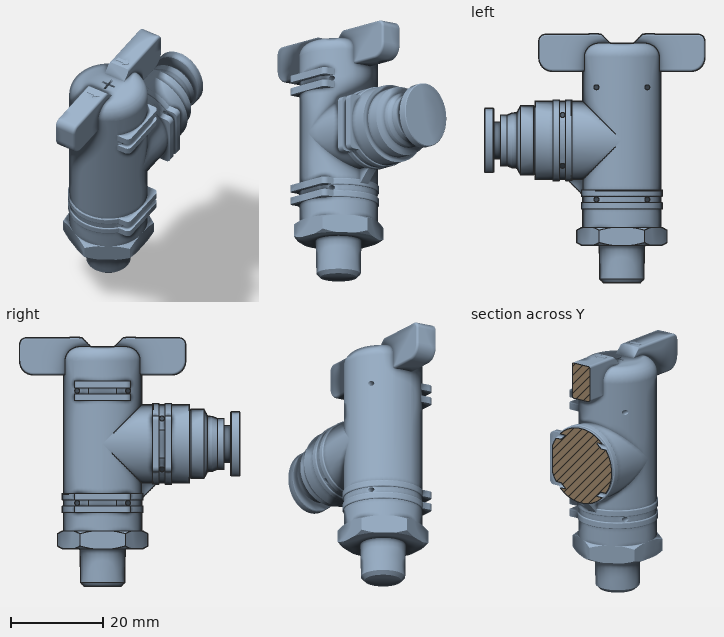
import cadquery as cq
import math


body_diameter = 17.0
body_radius = body_diameter / 2
body_top = 51.85
dome_fillet = 3.0

hex_bottom = 8.1
hex_top = 12.0
hex_across_flats = body_diameter
hex_corner_radius = hex_across_flats / math.sqrt(3)
hex_face_radius = 8.75
hex_corner_drop = (hex_corner_radius - hex_face_radius) * math.tan(math.radians(30))
thread_top_radius = 4.95
thread_low_radius = 4.8
thread_chamfer = 0.8

arm_z = 30.8
arm_end = 18.8

collar_radius = 7.5
collar_chamfer = 0.3
collar_shoulder = 21.9
cone_base = 22.7
cone_base_radius = 6.05
cone_middle = 23.75
cone_middle_radius = 5.95
cone_tip = 24.8
cone_tip_radius = 5.5
sleeve_end = 26.3
neck_radius = 4.0
neck_end = 27.7
flange_end = 29.7
flange_half_x = 5.8
flange_half_z = 6.95
flange_chamfer = 0.15

ring_radius = 8.8
ring_width = 1.45
ring_pitch = 2.75
ring_edge_fillet = 0.2
lower_ring_z = 18.0
upper_lug_z = 42.3
arm_ring_y = 12.85
lug_half_span = 6.05
lug_reach = 9.0
lug_corner_fillet = 1.0
lug_slot_floor = 7.95
pin_hole_radius = 0.55
pin_hole_spacing = 11.0
pin_hole_depth = 1.1

gusset_thickness = 2.15
gusset_foot_z = 19.05

handle_length = 36.0
handle_width = 4.95
handle_bottom = 45.7
handle_top = 53.8
handle_low_fillet = 3.0
handle_top_fillet = 1.5
handle_edge_fillet = 0.5
notch_floor_half = 2.55
arrow_height = 0.15
arrow_y = 6.05
arrow_half_length = 1.5
arrow_head_start = 0.4
arrow_head_half_width = 1.0
arrow_shaft_half_width = 0.45

cross_length = 3.35
cross_width = 0.55
cross_depth = cross_length / 2


def revolve_z(profile):
    """Solid of revolution about Z from (radius, z) points."""
    return cq.Workplane("XZ").polyline(profile).close().revolve(360, (0, 0), (0, 1))


def onto_arm(shape):
    """Lay a shape built along +Z onto the arm, so that Z becomes Y and +X stays +X."""
    return shape.rotate((0, 0, 0), (1, 0, 0), -90).translate((0, 0, arm_z))


def make_body():
    body = cq.Workplane("XY").workplane(offset=hex_top).circle(body_radius).extrude(body_top - hex_top)
    return body.faces(">Z").edges().fillet(dome_fillet)


def make_hexagon():
    height = hex_top - hex_bottom
    prism = (
        cq.Workplane("XY")
        .workplane(offset=hex_bottom)
        .polygon(6, 2 * hex_corner_radius)
        .extrude(height)
        .rotate((0, 0, 0), (0, 0, 1), 90)
    )
    corner_cones = revolve_z([
        (0, hex_bottom),
        (hex_face_radius, hex_bottom),
        (hex_corner_radius, hex_bottom + hex_corner_drop),
        (hex_corner_radius, hex_top - hex_corner_drop),
        (hex_face_radius, hex_top),
        (0, hex_top),
    ])
    return prism.intersect(corner_cones)


def make_thread():
    return revolve_z([
        (0, 0),
        (thread_low_radius - thread_chamfer, 0),
        (thread_low_radius, thread_chamfer),
        (thread_top_radius, hex_bottom),
        (0, hex_bottom),
    ])


def make_arm():
    arm = cq.Workplane("XY").circle(body_radius).extrude(arm_end)
    collar = revolve_z([
        (0, arm_end),
        (collar_radius - collar_chamfer, arm_end),
        (collar_radius, arm_end + collar_chamfer),
        (collar_radius, collar_shoulder),
        (cone_base_radius, cone_base),
        (cone_middle_radius, cone_middle),
        (cone_tip_radius, cone_tip),
        (cone_tip_radius, sleeve_end),
        (neck_radius, sleeve_end),
        (neck_radius, neck_end),
        (0, neck_end),
    ])
    flange = (
        cq.Workplane("XY")
        .workplane(offset=neck_end)
        .ellipse(flange_half_x, flange_half_z)
        .extrude(flange_end - neck_end)
        .edges()
        .chamfer(flange_chamfer)
    )
    return onto_arm(arm.union(collar).union(flange))


def make_ring_pair():
    """Two clamp rings about Z, centred on z = 0."""
    ring = cq.Workplane("XY").circle(ring_radius).extrude(ring_width / 2, both=True)
    ring = ring.edges().fillet(ring_edge_fillet)
    return ring.translate((0, 0, ring_pitch / 2)).union(ring.translate((0, 0, -ring_pitch / 2)))


def make_lug_pair():
    """Two square lugs on the +X side, centred on z = 0."""
    lug = cq.Workplane("XY").box(lug_reach, 2 * lug_half_span, ring_width, centered=(False, True, True))
    lug = lug.edges("|Z and >X").fillet(lug_corner_fillet)
    return lug.translate((0, 0, ring_pitch / 2)).union(lug.translate((0, 0, -ring_pitch / 2)))


def make_clamp_cuts():
    """Flat between the lugs and four pin holes parallel to X, centred on z = 0."""
    gap = ring_pitch - ring_width
    slot = (
        cq.Workplane("XY")
        .box(lug_reach, 2 * lug_half_span, gap, centered=(False, True, True))
        .translate((lug_slot_floor, 0, 0))
    )
    holes = (
        cq.Workplane("YZ")
        .rarray(pin_hole_spacing, 0.55, 2, 1)
        .circle(pin_hole_radius)
        .extrude(body_radius, both=True)
    )
    hole_floor = (
        cq.Workplane("XY")
        .circle(body_radius - pin_hole_depth)
        .extrude(2 * pin_hole_radius, both=True)
    )
    return slot.union(holes.cut(hole_floor))


def make_gusset():
    drop = arm_z - gusset_foot_z
    return (
        cq.Workplane("YZ")
        .moveTo(0, arm_z)
        .lineTo(0, gusset_foot_z)
        .lineTo(body_radius, gusset_foot_z)
        .lineTo(body_radius + drop, arm_z)
        .close()
        .extrude(gusset_thickness / 2, both=True)
        .intersect(cq.Workplane("XY").box(2 * body_radius, 2 * arm_end, 2 * arm_z))
    )


def make_handle():
    height = handle_top - handle_bottom
    bar = cq.Workplane("XY").box(handle_width, handle_length, height, centered=(True, True, False))
    bar = bar.translate((0, 0, handle_bottom))
    bar = bar.edges("|X and <Z").fillet(handle_low_fillet)
    bar = bar.edges("|X and >Z").fillet(handle_top_fillet)
    bar = bar.faces("<X or >X").edges().fillet(handle_edge_fillet)

    notch_top_half = notch_floor_half + handle_top - body_top
    notch = (
        cq.Workplane("YZ")
        .moveTo(-notch_floor_half, body_top)
        .lineTo(notch_floor_half, body_top)
        .lineTo(notch_top_half, handle_top)
        .lineTo(-notch_top_half, handle_top)
        .close()
        .extrude(handle_width, both=True)
    )
    return bar.cut(notch)


def make_arrows():
    """Raised turning arrows pointing to +X on both handle wings."""
    head_line = [
        (arrow_head_start, arrow_shaft_half_width),
        (arrow_head_start, arrow_head_half_width),
        (arrow_half_length, 0),
        (arrow_head_start, -arrow_head_half_width),
        (arrow_head_start, -arrow_shaft_half_width),
    ]
    tail_line = [
        (-arrow_half_length, -arrow_shaft_half_width),
        (-arrow_half_length, arrow_shaft_half_width),
    ]
    arrow = (
        cq.Workplane("XY")
        .workplane(offset=handle_top)
        .polyline(head_line + tail_line)
        .close()
        .extrude(arrow_height)
    )
    return arrow.translate((0, arrow_y, 0)).union(arrow.translate((0, -arrow_y, 0)))


def make_cross():
    """Cross slot whose floor slopes at 45 degrees down to the axis."""
    arm_x = cq.Workplane("XY").box(cross_length, cross_width, 2 * cross_depth)
    arm_y = cq.Workplane("XY").box(cross_width, cross_length, 2 * cross_depth)
    floor_cone = revolve_z([(0, -cross_depth), (cross_length / 2, 0), (0, 0)])
    return arm_x.union(arm_y).intersect(floor_cone).translate((0, 0, body_top))


def add_lugs(solid, place):
    """Join a lug pair where place() puts it, then cut its slot and pin holes."""
    return solid.union(place(make_lug_pair())).cut(place(make_clamp_cuts()))


def at_lower_ring(shape):
    return shape.translate((0, 0, lower_ring_z))


def at_upper_lugs(shape):
    return shape.translate((0, 0, upper_lug_z))


def at_arm_ring(shape):
    return onto_arm(shape.translate((0, 0, arm_ring_y)))


result = make_body().union(make_hexagon()).union(make_thread())
result = result.union(make_arm()).union(make_gusset())
result = result.union(at_lower_ring(make_ring_pair()))
result = result.union(at_arm_ring(make_ring_pair()))
for place in (at_lower_ring, at_upper_lugs, at_arm_ring):
    result = add_lugs(result, place)
result = result.union(make_handle()).union(make_arrows())
result = result.cut(make_cross())